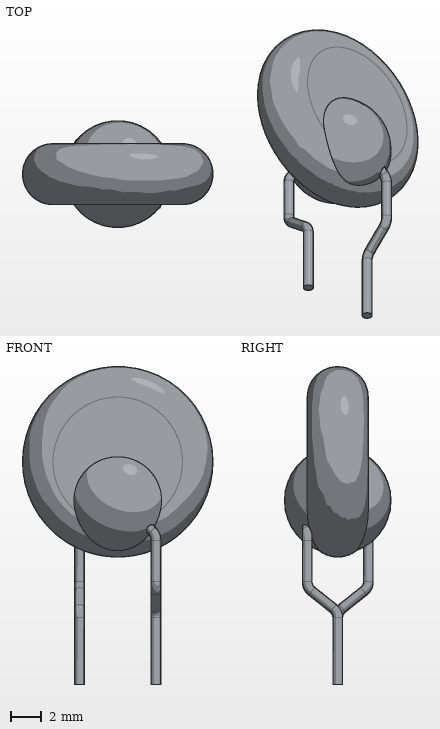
import cadquery as cq
import math

disc_diameter = 12.49
disc_thickness = 4.0
ball_diameter = 7.0
ball_drop = 2.55

lead_diameter = 0.65
lead_offset_x = 2.5
lead_offset_y = disc_thickness / 2
lead_bottom_z = disc_diameter / 2 - 20.85
kink_bottom_z = -10.22
kink_top_z = -7.86
hook_z = -5.15
kink_bend_radius = 0.8
hook_bend_radius = 0.92
hook_angle = 45.0
embedded_length = 1.0

kink_run = lead_offset_y
kink_rise = kink_top_z - kink_bottom_z
bend_diameter = 2 * kink_bend_radius
slant_length = math.sqrt(kink_rise**2 + kink_run**2 - 2 * kink_run * bend_diameter)
kink_angle = 2 * math.atan2(kink_rise - slant_length, 2 * bend_diameter - kink_run)


def make_disc():
    """Disc whose rim is fully rounded into a half circle."""
    rim_radius = disc_thickness / 2
    flat_radius = disc_diameter / 2 - rim_radius
    return (
        cq.Workplane("XY")
        .moveTo(0, -rim_radius)
        .lineTo(flat_radius, -rim_radius)
        .threePointArc((disc_diameter / 2, 0), (flat_radius, rim_radius))
        .lineTo(0, rim_radius)
        .close()
        .revolve(360, (0, 0, 0), (0, 1, 0))
    )


def make_ball():
    """Solder ball that bulges through both faces of the disc."""
    return cq.Workplane("XY").sphere(ball_diameter / 2).translate((0, 0, -ball_drop))


def make_lead(side):
    """Round wire: straight pin, kink out to one disc face, hook into the ball.

    side = 1 gives the lead at +X on the -Y face, side = -1 the one at -X on the +Y face.
    """
    x = side * lead_offset_x
    y = -side * lead_offset_y

    bend_run = kink_bend_radius * (1 - math.cos(kink_angle))
    bend_rise = kink_bend_radius * math.sin(kink_angle)
    slant_start = cq.Vector(x, -side * bend_run, kink_bottom_z + bend_rise)
    slant_end = cq.Vector(x, y + side * bend_run, kink_top_z - bend_rise)

    angle = math.radians(hook_angle)
    hook_run = hook_bend_radius * (1 - math.cos(angle))
    hook_end = cq.Vector(x - side * hook_run, y, hook_z + hook_bend_radius * math.sin(angle))
    tip = hook_end + cq.Vector(-side * math.sin(angle), 0, math.cos(angle)) * embedded_length

    bottom = cq.Vector(x, 0, lead_bottom_z)
    kink_bottom = cq.Vector(x, 0, kink_bottom_z)
    kink_top = cq.Vector(x, y, kink_top_z)
    hook_start = cq.Vector(x, y, hook_z)
    up = cq.Vector(0, 0, 1)
    slant = slant_end - slant_start

    path = cq.Wire.assembleEdges([
        cq.Edge.makeLine(bottom, kink_bottom),
        cq.Edge.makeTangentArc(kink_bottom, up, slant_start),
        cq.Edge.makeLine(slant_start, slant_end),
        cq.Edge.makeTangentArc(slant_end, slant, kink_top),
        cq.Edge.makeLine(kink_top, hook_start),
        cq.Edge.makeTangentArc(hook_start, up, hook_end),
        cq.Edge.makeLine(hook_end, tip),
    ])
    profile = cq.Workplane("XY", origin=bottom.toTuple()).circle(lead_diameter / 2)
    return profile.sweep(cq.Workplane(obj=path))


leads = [make_lead(side) for side in (-1, 1)]
ball = make_ball()
disc = make_disc().cut(ball)

for lead in leads:
    ball = ball.cut(lead)
    disc = disc.cut(lead)

result = cq.Compound.makeCompound([disc.val(), ball.val(), *[lead.val() for lead in leads]])